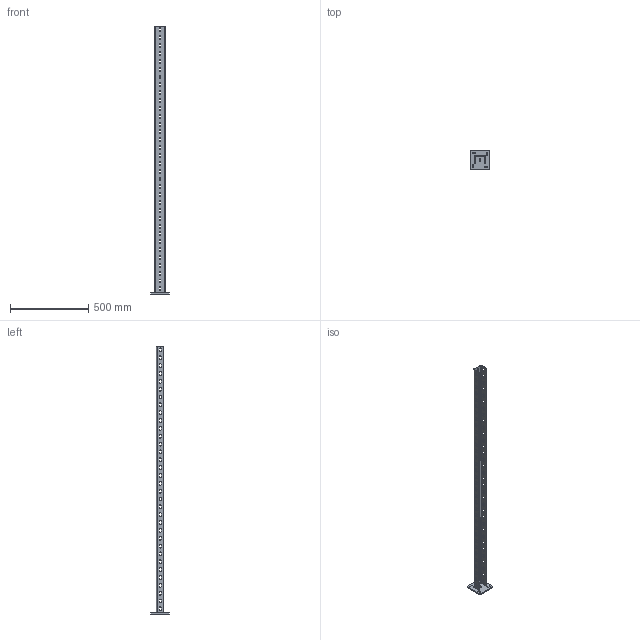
import cadquery as cq

SLOT_LENGTH = 25.0
SLOT_WIDTH = SLOT_LENGTH / 2

PLATE_SIDE = 120.0
PLATE_THICKNESS = 8.0
PLATE_CORNER_RADIUS = 5.0
CORNER_SLOT_LENGTH = 22.0
CORNER_SLOT_WIDTH = 10.0
CORNER_SLOT_MARGIN = 11.0
CORNER_SLOT_LONG_OFFSET = PLATE_SIDE / 2 - CORNER_SLOT_MARGIN - CORNER_SLOT_LENGTH / 2
CORNER_SLOT_SIDE_OFFSET = PLATE_SIDE / 2 - CORNER_SLOT_MARGIN - CORNER_SLOT_WIDTH / 2

TOTAL_HEIGHT = 1708.0
CHANNEL_HEIGHT = TOTAL_HEIGHT - PLATE_THICKNESS
CHANNEL_WIDTH = 70.0
CHANNEL_DEPTH = 50.0
WALL = 4.0
OUTER_BEND_RADIUS = 6.0
INNER_BEND_RADIUS = OUTER_BEND_RADIUS - WALL
WEB_OUTER_Y = CHANNEL_DEPTH / 2
FLANGE_TIP_Y = WEB_OUTER_Y - CHANNEL_DEPTH

SLOT_PITCH = 50.0
SLOT_COUNT = int(CHANNEL_HEIGHT / SLOT_PITCH)
FIRST_SLOT_Z = PLATE_THICKNESS + SLOT_PITCH / 2
FLANGE_SLOT_TIP_DISTANCE = 23.0
FLANGE_SLOT_Y = FLANGE_TIP_Y + FLANGE_SLOT_TIP_DISTANCE


def make_base_plate():
    """Square plate with rounded corners, a central slot and four corner slots in a pinwheel."""
    plate = cq.Workplane("XY").box(
        PLATE_SIDE, PLATE_SIDE, PLATE_THICKNESS, centered=(True, True, False)
    )
    plate = plate.edges("|Z").fillet(PLATE_CORNER_RADIUS)
    centre_slot = (
        cq.Workplane("XY")
        .slot2D(SLOT_LENGTH, SLOT_WIDTH, 90)
        .extrude(PLATE_THICKNESS)
    )
    plate = plate.cut(centre_slot)
    corner_slot = (
        cq.Workplane("XY")
        .center(-CORNER_SLOT_LONG_OFFSET, CORNER_SLOT_SIDE_OFFSET)
        .slot2D(CORNER_SLOT_LENGTH, CORNER_SLOT_WIDTH)
        .extrude(PLATE_THICKNESS)
    )
    for angle in (0, 90, 180, 270):
        plate = plate.cut(corner_slot.rotate((0, 0, 0), (0, 0, 1), angle))
    return plate


def channel_block(width, web_y, bend_radius):
    """Upright block from the flange tips to web_y, rounded along its two web edges."""
    return (
        cq.Workplane("XY", origin=(0, (FLANGE_TIP_Y + web_y) / 2, PLATE_THICKNESS))
        .rect(width, web_y - FLANGE_TIP_Y)
        .extrude(CHANNEL_HEIGHT)
        .edges("|Z and >Y")
        .fillet(bend_radius)
    )


def make_channel():
    """Plain U-channel standing on the plate."""
    outside = channel_block(CHANNEL_WIDTH, WEB_OUTER_Y, OUTER_BEND_RADIUS)
    inside = channel_block(CHANNEL_WIDTH - 2 * WALL, WEB_OUTER_Y - WALL, INNER_BEND_RADIUS)
    return outside.cut(inside)


def slot_centres(across):
    """Points of one vertical row of slots at the given cross position."""
    return [(across, FIRST_SLOT_Z + i * SLOT_PITCH) for i in range(SLOT_COUNT)]


def web_slots():
    """Row of upright slots through the web."""
    return (
        cq.Workplane("XZ", origin=(0, WEB_OUTER_Y, 0))
        .pushPoints(slot_centres(0))
        .slot2D(SLOT_LENGTH, SLOT_WIDTH, 90)
        .extrude(WALL)
    )


def flange_slots():
    """Rows of upright slots passing through both flanges."""
    return (
        cq.Workplane("YZ")
        .pushPoints(slot_centres(FLANGE_SLOT_Y))
        .slot2D(SLOT_LENGTH, SLOT_WIDTH, 90)
        .extrude(CHANNEL_WIDTH / 2, both=True)
    )


channel = make_channel().cut(web_slots()).cut(flange_slots())
result = make_base_plate().union(channel)